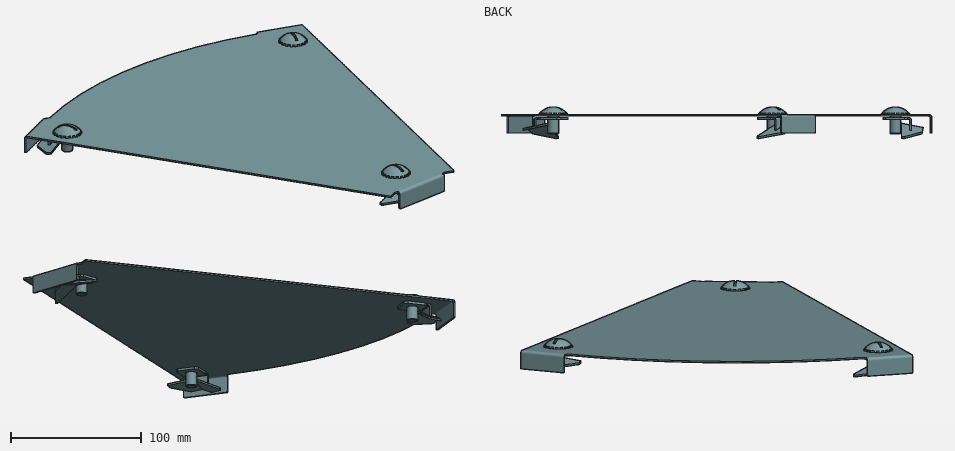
import cadquery as cq
import math

wedge_turn = -45.0
half_turn = wedge_turn / 2
reach = 393.0
corner_reach = 90.0
corner_stub = 8.0
sweep_radius = 291.2
sweep_centre = 104.0

sheet = 1.3
bend_radius = 2.3
flange_depth = 14.2
flange_corner = 1.0
wide_flange = 37.0
relief = 2.5
narrow_reach = 83.5
narrow_flange = 48.5

knob_radius = 11.2
knob_height = 6.0
knurl_count = 18
knurl_width = 2.0
knurl_depth = 1.0
slot_width = 1.5
slot_depth = 2.47
stem_radius = 4.3
stem_depth = 14.8
stem_chamfer = 0.5

washer_side = 18.8
washer_gap = 0.82
washer_thickness = 1.8
washer_corner = 2.3

latch_sheet = 1.48
leaf_inner = 4.5
leaf_outer = 21.7
leaf_half = 21.7
leaf_top = 6.5
low_drop = 10.0
high_drop = 2.0
leaf_tilt = 11.0
high_corner = 13.2
low_corner = 15.0
web_outer = 12.2
web_half = 9.0
web_drop = 26.5

wide_back = 365.0
wide_offset = 18.5
narrow_back = 111.7
fasteners = [
    (wide_back, wide_offset, 0.0, 0.0),
    (wide_back, -wide_offset, wedge_turn, 0.0),
    (narrow_back, 0.0, half_turn, 180.0),
]


def turned(x, y, turn):
    """Point (x, y) turned about the apex."""
    angle = math.radians(turn)
    return (
        x * math.cos(angle) - y * math.sin(angle),
        x * math.sin(angle) + y * math.cos(angle),
    )


def to_fastener(body, back, offset, arm_turn, own_turn):
    """Move a body built on the Z axis to one fastener position."""
    x, y = turned(-back, offset, arm_turn)
    return body.rotate((0, 0, 0), (0, 0, 1), arm_turn + own_turn).translate((x, y, 0))


def make_flange(distance, start, end, turn):
    """Bent flange whose outer face is at x = -distance before it is turned about the apex."""
    inside_radius = bend_radius - sheet
    diagonal = math.sqrt(0.5)
    profile = (
        cq.Workplane("XZ", origin=(-distance, start, 0))
        .moveTo(0, -flange_depth)
        .lineTo(0, -bend_radius)
        .threePointArc(
            (bend_radius * (1 - diagonal), -bend_radius * (1 - diagonal)),
            (bend_radius, 0),
        )
        .lineTo(bend_radius, -sheet)
        .threePointArc(
            (bend_radius - inside_radius * diagonal, -bend_radius + inside_radius * diagonal),
            (sheet, -bend_radius),
        )
        .lineTo(sheet, -flange_depth)
        .close()
        .extrude(start - end)
    )
    rounded = profile.faces("<Z").edges("|X").fillet(flange_corner)
    return rounded.rotate((0, 0, 0), (0, 0, 1), turn)


def make_cover():
    """Flat wedge panel with three bent flanges and a hole for each stem."""
    bend_line = reach - bend_radius
    relief_end = wide_flange + relief
    sweep_start = relief - bend_line
    narrow_bend = narrow_reach + bend_radius
    half_narrow = narrow_flange / 2
    panel = (
        cq.Workplane("XY")
        .moveTo(-corner_reach, 0)
        .lineTo(-bend_line, 0)
        .lineTo(-bend_line, wide_flange)
        .lineTo(sweep_start, relief_end)
        .threePointArc(
            turned(-sweep_centre - sweep_radius, 0, half_turn),
            turned(sweep_start, -relief_end, wedge_turn),
        )
        .lineTo(*turned(-bend_line, -wide_flange, wedge_turn))
        .lineTo(*turned(-bend_line, 0, wedge_turn))
        .lineTo(*turned(-corner_reach, 0, wedge_turn))
        .lineTo(*turned(-corner_reach, -corner_stub, wedge_turn))
        .lineTo(*turned(-narrow_bend, half_narrow, half_turn))
        .lineTo(*turned(-narrow_bend, -half_narrow, half_turn))
        .lineTo(-corner_reach, corner_stub)
        .close()
        .extrude(-sheet)
    )
    cover = (
        panel
        .union(make_flange(reach, 0, wide_flange, 0))
        .union(make_flange(reach, -wide_flange, 0, wedge_turn))
        .union(make_flange(-narrow_reach, -half_narrow, half_narrow, half_turn + 180))
    )
    for back, offset, arm_turn, _ in fasteners:
        x, y = turned(-back, offset, arm_turn)
        hole = cq.Workplane("XY").center(x, y).circle(stem_radius).extrude(-sheet)
        cover = cover.cut(hole)
    return cover


def make_knob():
    """Domed head with knurled rim and screwdriver slot, and the stem below it."""
    dome_radius = (knob_radius**2 + knob_height**2) / (2 * knob_height)
    dome = cq.Workplane("XY").sphere(dome_radius).translate((0, 0, knob_height - dome_radius))
    head = cq.Workplane("XY").circle(knob_radius).extrude(knob_height).intersect(dome)
    slot = (
        cq.Workplane("XY", origin=(0, 0, knob_height - slot_depth))
        .rect(2 * knob_radius, slot_width)
        .extrude(slot_depth)
    )
    knurls = (
        cq.Workplane("XY")
        .polarArray(knob_radius, 0, 360, knurl_count)
        .rect(2 * knurl_depth, knurl_width)
        .extrude(knob_height)
    )
    stem = (
        cq.Workplane("XY")
        .circle(stem_radius)
        .extrude(-stem_depth)
        .faces("<Z")
        .chamfer(stem_chamfer)
    )
    return head.cut(slot).cut(knurls).union(stem)


def make_washer():
    """Chamfered square washer on the stem, just below the sheet."""
    return (
        cq.Workplane("XY", origin=(0, 0, -sheet - washer_gap))
        .rect(washer_side, washer_side)
        .extrude(-washer_thickness)
        .edges("|Z")
        .chamfer(washer_corner)
        .faces(">Z")
        .workplane()
        .hole(2 * stem_radius)
    )


def above_leaf(height):
    """Block on the ridged underside of the leaf, tilted down away from the stem."""
    under = -leaf_top - latch_sheet
    ridge = [(-leaf_half, under - high_drop), (0, under), (leaf_half, under - low_drop)]
    upper = [(y, z + height) for y, z in reversed(ridge)]
    return (
        cq.Workplane("YZ", origin=(-leaf_outer, 0, 0))
        .polyline(ridge + upper)
        .close()
        .extrude(leaf_outer - leaf_inner)
        .rotate((-leaf_inner, 0, -leaf_top), (-leaf_inner, 1, -leaf_top), -leaf_tilt)
    )


def make_latch():
    """Leaf beside the stem, hung from the washer's edge by a bent web."""
    leaf_outline = (
        cq.Workplane("XY")
        .moveTo(-leaf_inner, -leaf_half)
        .lineTo(high_corner - leaf_outer, -leaf_half)
        .lineTo(-leaf_outer, high_corner - leaf_half)
        .lineTo(-leaf_outer, leaf_half - low_corner)
        .lineTo(low_corner - leaf_outer, leaf_half)
        .lineTo(-leaf_inner, leaf_half)
        .close()
        .extrude(-web_drop)
    )
    leaf = above_leaf(latch_sheet).intersect(leaf_outline)
    washer_bottom = sheet + washer_gap + washer_thickness
    web = (
        cq.Workplane("XZ", origin=(0, web_half, 0))
        .moveTo(-washer_side / 2, -washer_bottom)
        .lineTo(-washer_side / 2, latch_sheet - washer_bottom)
        .lineTo(-web_outer, latch_sheet - washer_bottom)
        .lineTo(-web_outer, -web_drop)
        .lineTo(latch_sheet - web_outer, -web_drop)
        .lineTo(latch_sheet - web_outer, -washer_bottom)
        .close()
        .extrude(2 * web_half)
        .edges(cq.NearestToPointSelector((-web_outer, 0, latch_sheet - washer_bottom)))
        .fillet(latch_sheet)
    )
    return leaf.union(web.intersect(above_leaf(web_drop)))


cover = make_cover()
knob = make_knob()
washer = make_washer()
latch = make_latch()

bodies = [cover]
for place in fasteners:
    for body in (knob, washer, latch):
        bodies.append(to_fastener(body, *place))

result = cq.Compound.makeCompound([body.translate((reach, 0, 0)).solids().val() for body in bodies])